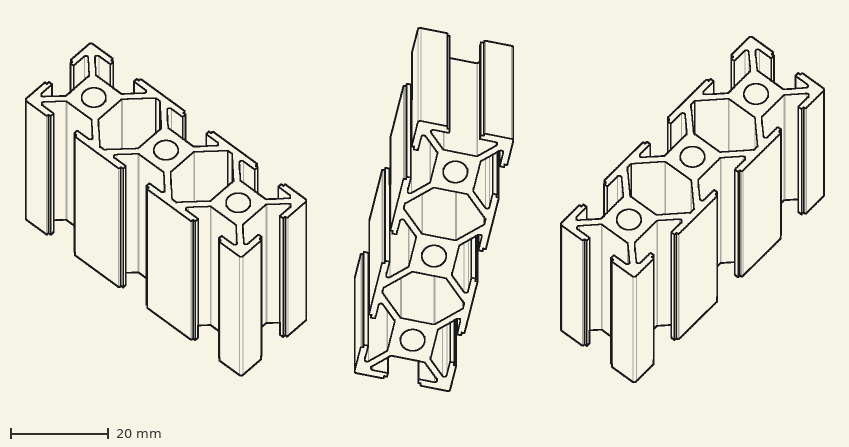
import cadquery as cq
import math

cell_count = 3
length_x = 60.0
cell = length_x / cell_count
height = 2 * cell

outer_radius = 0.5
half_core = 4.5
bore_diameter = 5.0
web_thickness = 1.4

lip_depth = 1.45
slot_half_mouth = 3.25
step_half_width = 3.85
step_depth = 0.55
lip_radius = 0.2
pocket_radius = 0.5

cavity_wall = 1.55
core_radius = 0.25

half_cell = cell / 2
web_offset = web_thickness / math.sqrt(2)
cell_centres = [(i - (cell_count - 1) / 2) * cell for i in range(cell_count)]
bottom_z = -height / 2


def prism(points):
    """Extrude a closed outline over the full height."""
    return cq.Workplane("XY", origin=(0, 0, bottom_z)).polyline(points).close().extrude(height)


def make_slot():
    """T-slot opening toward +Y, for a cell centred on the origin."""
    pocket_top = half_cell - lip_depth
    pocket_half = pocket_top - web_offset
    core_half = half_core - web_offset
    pocket = prism([
        (-core_half, half_core),
        (core_half, half_core),
        (pocket_half, pocket_top),
        (-pocket_half, pocket_top),
    ])
    pocket = pocket.edges("|Z").edges(">Y").fillet(pocket_radius)
    pocket = pocket.edges("|Z").edges("<Y").fillet(core_radius)

    step_floor = half_cell - step_depth
    mouth = prism([
        (-slot_half_mouth, half_core),
        (slot_half_mouth, half_core),
        (slot_half_mouth, step_floor),
        (step_half_width, step_floor),
        (step_half_width, half_cell),
        (-step_half_width, half_cell),
        (-step_half_width, step_floor),
        (-slot_half_mouth, step_floor),
    ])
    slot = pocket.union(mouth)

    for side in (-1, 1):
        edge_x = side * step_half_width
        rim = (
            cq.Workplane("XY", origin=(0, 0, bottom_z))
            .moveTo(edge_x, half_cell - lip_radius)
            .radiusArc((edge_x + side * lip_radius, half_cell), side * lip_radius)
            .lineTo(edge_x, half_cell)
            .close()
            .extrude(height)
        )
        slot = slot.union(rim)
    return slot


def make_cavity():
    """Eight-sided hollow between two neighbouring cores, centred on the origin."""
    half_width = half_cell - half_core
    end_y = half_cell - cavity_wall
    end_half_width = cavity_wall - web_offset
    side_y = half_core - web_offset
    cavity = prism([
        (end_half_width, end_y),
        (half_width, side_y),
        (half_width, -side_y),
        (end_half_width, -end_y),
        (-end_half_width, -end_y),
        (-half_width, -side_y),
        (-half_width, side_y),
        (-end_half_width, end_y),
    ])
    for side in ("<X", ">X"):
        cavity = cavity.edges("|Z").edges(side).fillet(core_radius)
    return cavity


body = cq.Workplane("XY").box(length_x, cell, height)
body = body.edges("|Z").fillet(outer_radius)

slot = make_slot()
opposite_slot = slot.mirror("XZ")
for x in cell_centres:
    body = body.cut(slot.translate((x, 0, 0)))
    body = body.cut(opposite_slot.translate((x, 0, 0)))

side_slot = slot.rotate((0, 0, 0), (0, 0, 1), -90)
body = body.cut(side_slot.translate((cell_centres[-1], 0, 0)))
body = body.cut(side_slot.mirror("YZ").translate((cell_centres[0], 0, 0)))

cavity = make_cavity()
for x in cell_centres[:-1]:
    body = body.cut(cavity.translate((x + half_cell, 0, 0)))

bores = (
    cq.Workplane("XY", origin=(0, 0, bottom_z))
    .pushPoints([(x, 0) for x in cell_centres])
    .circle(bore_diameter / 2)
    .extrude(height)
)
result = body.cut(bores)